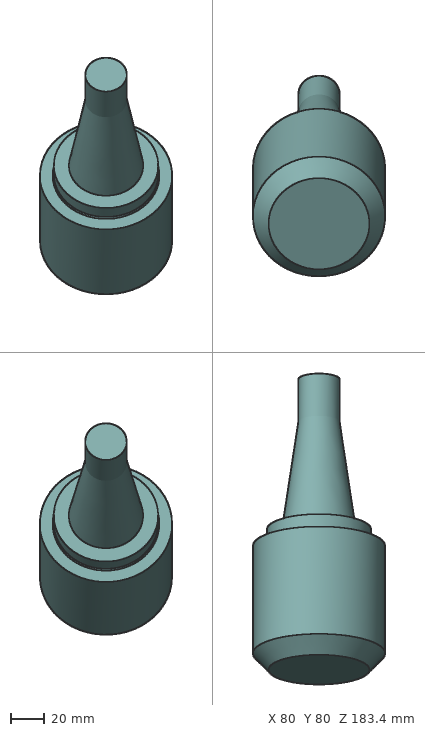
import cadquery as cq

total_height = 183.4
chamfer_top = 10.3
body_top = 78.1
collar_top = 88.5
taper_top = 156.6
rim_height = 1.1

body_diameter = 80.0
base_diameter = 60.9
collar_diameter = 63.0
rim_diameter = 64.5
taper_base_diameter = 45.0
tip_diameter = 25.1

profile = [
    (0, 0),
    (base_diameter / 2, 0),
    (body_diameter / 2, chamfer_top),
    (body_diameter / 2, body_top),
    (rim_diameter / 2, body_top),
    (collar_diameter / 2, body_top + rim_height),
    (collar_diameter / 2, collar_top),
    (taper_base_diameter / 2, collar_top),
    (tip_diameter / 2, taper_top),
    (tip_diameter / 2, total_height),
    (0, total_height),
]

result = cq.Workplane("XZ").polyline(profile).close().revolve(360, (0, 0, 0), (0, 1, 0))